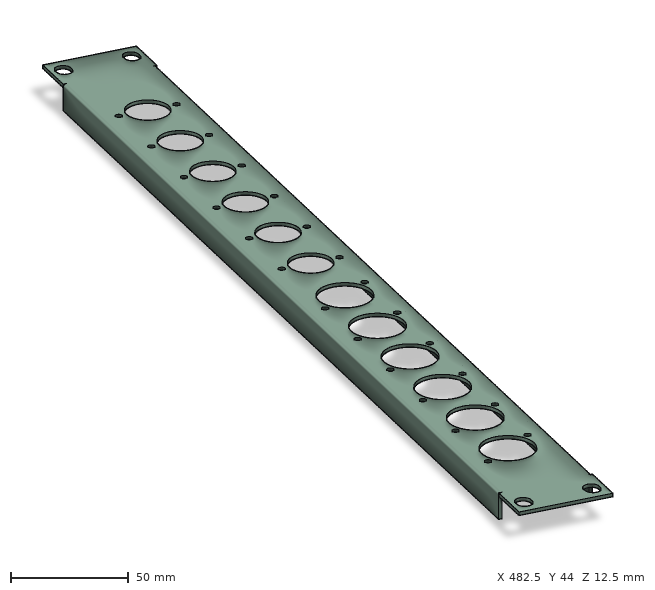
import cadquery as cq

panel_length = 482.5
panel_width = 44.0
panel_height = 12.5
sheet_thickness = 1.7
bend_radius = sheet_thickness
flange_setback = 20.8

slot_inset = 8.0
slot_spacing = 32.0
slot_length = 8.5
slot_width = 7.0

cutouts_per_group = 6
inner_cutout_x = 17.5
outer_cutout_x = 182.5
cutout_pitch = (outer_cutout_x - inner_cutout_x) / (cutouts_per_group - 1)
small_cutout_diameter = 20.0
large_cutout_diameter = 24.5

screw_diameter = 3.1
small_screw_offset = (0.0, 13.5)
large_screw_offset = (-8.0, 13.0)

flange_length = panel_length - 2 * flange_setback


def block(length, width, bottom, top):
    """Rectangular block centred on the Z axis, from one height to another."""
    return cq.Workplane("XY", origin=(0, 0, bottom)).rect(length, width).extrude(top - bottom)


def make_channel():
    """Folded middle stretch: a web and two flanges, rounded outside at the bends."""
    outside = block(flange_length, panel_width, -panel_height, 0).edges("|X and >Z").fillet(bend_radius)
    inside_width = panel_width - 2 * sheet_thickness
    inside = block(flange_length, inside_width, -panel_height, -sheet_thickness)
    return outside.cut(inside)


def make_ears():
    """Flat square-edged plate ends beyond the flanges."""
    plate = block(panel_length, panel_width, -sheet_thickness, 0)
    middle = block(flange_length, panel_width, -sheet_thickness, 0)
    return plate.cut(middle)


def hole_plane():
    """Workplane on the underside of the plate, where every hole starts."""
    return cq.Workplane("XY", origin=(0, 0, -sheet_thickness))


def make_mounting_slots():
    """Four slots, one in each corner of the plate."""
    return (
        hole_plane()
        .rect(panel_length - 2 * slot_inset, slot_spacing, forConstruction=True)
        .vertices()
        .slot2D(slot_length, slot_width)
        .extrude(sheet_thickness)
    )


def make_cutouts(first_x, cutout_diameter, screw_offset):
    """Row of round cutouts from first_x towards +X, each with its two screw holes."""
    offset_x, offset_y = screw_offset
    centres = [(first_x + i * cutout_pitch, 0) for i in range(cutouts_per_group)]
    screws = [(x + side * offset_x, y + side * offset_y) for x, y in centres for side in (1, -1)]
    cutouts = hole_plane().pushPoints(centres).circle(cutout_diameter / 2).extrude(sheet_thickness)
    screw_holes = hole_plane().pushPoints(screws).circle(screw_diameter / 2).extrude(sheet_thickness)
    return cutouts.union(screw_holes)


result = (
    make_channel()
    .union(make_ears())
    .cut(make_mounting_slots())
    .cut(make_cutouts(-outer_cutout_x, small_cutout_diameter, small_screw_offset))
    .cut(make_cutouts(inner_cutout_x, large_cutout_diameter, large_screw_offset))
)